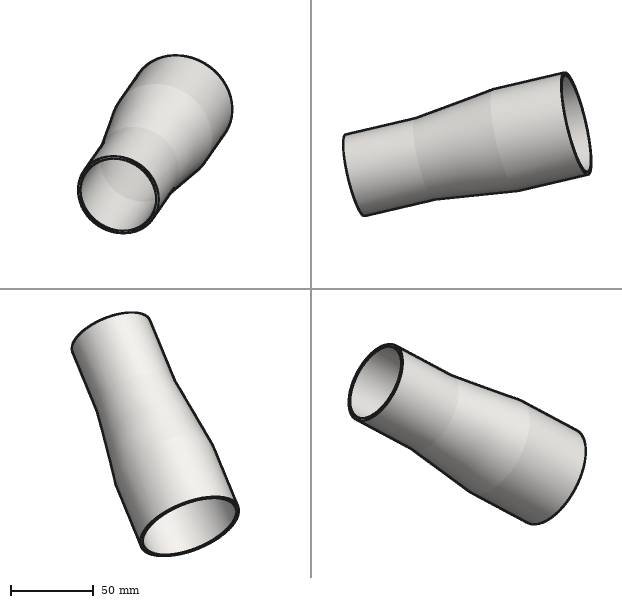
import cadquery as cq

total_length = 139.7
large_diameter = 63.5
small_diameter = 50.9
wall = 1.7
end_length = 44.4

large_radius = large_diameter / 2
small_radius = small_diameter / 2
front_y = -total_length / 2
taper_start_y = front_y + end_length
taper_end_y = -taper_start_y
back_y = -front_y


def revolved_body(inset):
    """Solid reducer shape with both radii reduced by the inset."""
    small = small_radius - inset
    large = large_radius - inset
    half_section = (
        cq.Workplane("XY")
        .moveTo(0, front_y)
        .lineTo(small, front_y)
        .lineTo(small, taper_start_y)
        .lineTo(large, taper_end_y)
        .lineTo(large, back_y)
        .lineTo(0, back_y)
        .close()
    )
    return half_section.revolve(360, (0, 0, 0), (0, 1, 0))


result = revolved_body(0).cut(revolved_body(wall))